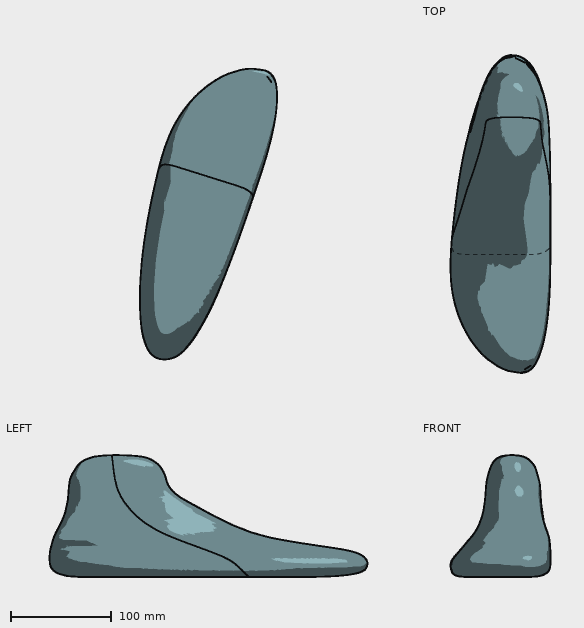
import cadquery as cq
import math


HEIGHT = 121.23
CROWN_POINT = (0, -66, HEIGHT)
POINTS_PER_QUARTER = 6

OUTLINES = [
    (0.0, (6, -262), (-46, -203), (-4, -30), (18, -180), (1.85, 1.68, 2.6, 2.1)),
    (0.4, (6, -276), (-51, -206), (-4, -23), (24, -185), (1.85, 1.68, 2.8, 2.2)),
    (1.5, (7, -292), (-55.5, -209), (-4, -15), (29.5, -190), (1.85, 1.68, 2.9, 2.3)),
    (4.0, (8, -306.5), (-59, -212), (-4, -8), (34.5, -195), (1.9, 1.68, 3.0, 2.35)),
    (8.0, (9, -314), (-60.4, -214), (-4, -3.2), (37.5, -200), (1.9, 1.68, 3.1, 2.4)),
    (13.5, (9, -316), (-60.8, -213), (-4, -0.9), (38.4, -200), (1.9, 1.68, 3.1, 2.4)),
    (19.0, (9, -313.5), (-58.2, -198), (-4, -0.55), (38.4, -180), (1.9, 1.7, 3.0, 2.5)),
    (24.0, (9, -305.5), (-53.8, -177), (-4, -0.8), (38.4, -150), (1.9, 1.72, 2.9, 2.7)),
    (28.0, (9, -289), (-50.3, -160), (-4, -1.4), (38.3, -125), (1.85, 1.75, 2.6, 3.0)),
    (32.0, (10, -262), (-47, -145), (-4, -2.3), (38, -105), (1.85, 1.8, 2.4, 3.3)),
    (36.5, (10, -234), (-43.2, -130), (-4, -3.5), (37.4, -90), (1.85, 2.0, 2.3, 3.5)),
    (42.0, (9, -208.5), (-38.5, -112), (-3, -5.5), (36, -78), (1.8, 2.0, 2.1, 3.3)),
    (50.0, (7, -186), (-33.6, -97), (-2, -9.5), (33.2, -70), (1.8, 2.0, 2.0, 2.8)),
    (60.0, (5, -165), (-29.8, -84), (0, -14.3), (30.6, -66), (1.8, 2.0, 2.0, 2.3)),
    (70.0, (3, -146.5), (-27.7, -75), (0, -17.1), (29.5, -66), (1.8, 2.0, 2.0, 2.0)),
    (80.0, (2, -129), (-26.5, -70), (0, -18.8), (28.7, -66), (1.9, 2.0, 2.0, 1.9)),
    (90.0, (2, -119), (-25.8, -68), (0, -19.3), (28.2, -66), (1.9, 2.0, 2.0, 1.9)),
    (99.0, (2, -115.6), (-24.4, -67), (0, -21.2), (26.3, -66), (1.9, 2.0, 2.0, 1.9)),
    (107.0, (1, -112), (-22, -66), (0, -25.4), (24, -66), (1.9, 2.0, 2.0, 1.9)),
    (113.0, (1, -106.8), (-19.3, -66), (0, -30.3), (20.6, -66), (1.9, 2.0, 2.0, 1.9)),
    (117.3, (1, -100), (-15.6, -66), (0, -37), (16.2, -66), (1.9, 2.0, 2.0, 1.9)),
    (119.8, (0, -91), (-11, -66), (0, -45), (11, -66), (1.9, 2.0, 2.0, 1.9)),
    (120.9, (0, -79.5), (-6, -66), (0, -55), (6, -66), (2.0, 2.0, 2.0, 2.0)),
]

PARTING_CURVE = [(-62, HEIGHT), (-64, 105), (-67.5, 88), (-77, 71), (-92, 56), (-113, 43.5),
                 (-139, 33), (-167, 22.5), (-182, 15), (-195, 3), (-198, 0)]
CUT_HALF_WIDTH = 100
CUT_MARGIN = 50


def quarter(start, end, corner, squareness):
    """Points of a superellipse quarter from start towards end, without the end point.

    The centre is the corner of the quarter's box that faces away from the outline.
    """
    cx, cy = corner
    points = []
    for i in range(POINTS_PER_QUARTER):
        angle = math.pi / 2 * i / POINTS_PER_QUARTER
        along_start = math.cos(angle) ** (2 / squareness)
        along_end = math.sin(angle) ** (2 / squareness)
        points.append((cx + along_start * (start[0] - cx) + along_end * (end[0] - cx),
                       cy + along_start * (start[1] - cy) + along_end * (end[1] - cy)))
    return points


def outline_wire(z, toe, left, heel, right, squareness):
    """Closed smooth outline at height z, starting at the toe."""
    points = quarter(toe, left, (toe[0], left[1]), squareness[0])
    points += quarter(left, heel, (heel[0], left[1]), squareness[1])
    points += quarter(heel, right, (heel[0], right[1]), squareness[2])
    points += quarter(right, toe, (toe[0], right[1]), squareness[3])
    spline = cq.Edge.makeSpline([cq.Vector(x, y, z) for x, y in points], periodic=True)
    return cq.Wire.assembleEdges([spline])


def make_last():
    """Whole last: a smooth skin over all outlines, closed at the crown."""
    wires = [outline_wire(*outline) for outline in OUTLINES]
    crown = cq.Vertex.makeVertex(*CROWN_POINT)
    return cq.Workplane(cq.occ_impl.shapes.loft(wires + [crown], cap=True, continuity="C1"))


def make_heel_side():
    """Block of space behind the parting curve, across the full width."""
    top_y = PARTING_CURVE[0][0]
    sole_y = PARTING_CURVE[-1][0]
    return (cq.Workplane("YZ", origin=(-CUT_HALF_WIDTH, 0, 0))
            .moveTo(*PARTING_CURVE[0])
            .spline(PARTING_CURVE[1:], includeCurrent=True)
            .lineTo(sole_y, -CUT_MARGIN)
            .lineTo(CUT_MARGIN, -CUT_MARGIN)
            .lineTo(CUT_MARGIN, HEIGHT + CUT_MARGIN)
            .lineTo(top_y, HEIGHT + CUT_MARGIN)
            .close()
            .extrude(2 * CUT_HALF_WIDTH))


last = make_last()
heel_side = make_heel_side()

heel_block = last.intersect(heel_side)

forepart_block = last.cut(heel_side)

result = cq.Compound.makeCompound([*heel_block.solids().vals(), *forepart_block.solids().vals()])